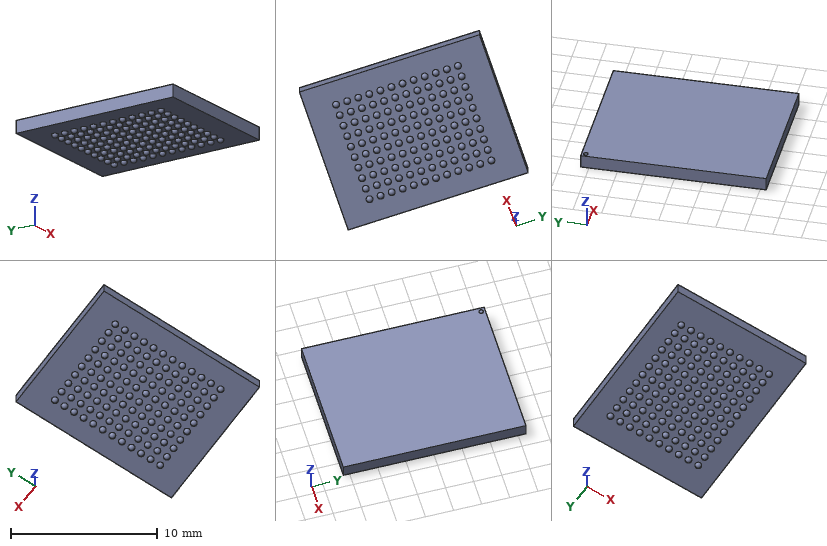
import cadquery as cq

body_width = 10.5
body_length = 13.0
total_height = 1.21

columns = 10
rows = 12
row_span = 8.8
ball_pitch = row_span / (rows - 1)
ball_diameter = 0.47
ball_drop = 0.26
body_height = total_height - ball_drop

mark_diameter = 0.3
mark_inset = 0.3
mark_depth = 0.03


def make_body():
    """Plain slab with its underside on Z = 0."""
    return cq.Workplane("XY").box(body_width, body_length, body_height, centered=(True, True, False))


def cut_pin_one_mark(body):
    """Recess the mark at the -X, +Y corner of the top face."""
    mark = (
        cq.Workplane("XY", origin=(0, 0, body_height - mark_depth))
        .center(mark_inset - body_width / 2, body_length / 2 - mark_inset)
        .circle(mark_diameter / 2)
        .extrude(mark_depth)
    )
    return body.cut(mark)


def make_balls():
    """Portions of the solder balls below the body's underside."""
    radius = ball_diameter / 2
    sphere = cq.Workplane("XY").sphere(radius).translate((0, 0, radius - ball_drop))
    below_body = cq.Workplane("XY").box(
        ball_diameter, ball_diameter, ball_drop, centered=(True, True, False)
    ).translate((0, 0, -ball_drop))
    ball = sphere.intersect(below_body).val()
    grid = cq.Workplane("XY").rarray(ball_pitch, ball_pitch, columns, rows)
    return grid.eachpoint(lambda location: ball.moved(location))


result = cut_pin_one_mark(make_body()).union(make_balls())